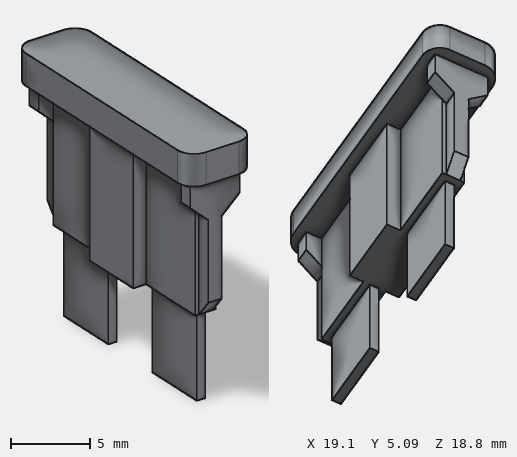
import cadquery as cq

total_height = 18.8
cap_length = 19.05
cap_width = 5.09
cap_thickness = 2.3
cap_corner_radius = 1.28

body_bottom = 6.36
body_top = total_height - cap_thickness
slab_length = 15.47
slab_thickness = 1.6
block_thickness = 3.56

blade_gap = 4.76
blade_width = 4.85
blade_thickness = 0.65

rail_span = 17.53
rail_width = (rail_span - slab_length) / 2
rail_thickness = 1.03
rail_head_thickness = 3.81
rail_head_height = 1.8
rail_taper_height = 1.25
rail_chamfer_height = 1.25


def upright_box(length, width, bottom, top):
    """Box centred on X and Y, spanning the given heights."""
    return cq.Workplane("XY").workplane(offset=bottom).rect(length, width).extrude(top - bottom)


def make_end_rails():
    """Y-shaped rails at both ends, with chamfered lower corners."""
    half_head = rail_head_thickness / 2
    half_rail = rail_thickness / 2
    taper_top = body_top - rail_head_height
    taper_bottom = taper_top - rail_taper_height
    section = (
        cq.Workplane("YZ")
        .workplane(offset=-rail_span / 2)
        .polyline([
            (-half_rail, body_bottom),
            (half_rail, body_bottom),
            (half_rail, taper_bottom),
            (half_head, taper_top),
            (half_head, body_top),
            (-half_head, body_top),
            (-half_head, taper_top),
            (-half_rail, taper_bottom),
        ])
        .close()
        .extrude(rail_span)
    )
    rails = section.faces("<Z").edges("|Y").chamfer(rail_width, rail_chamfer_height)
    return rails.cut(upright_box(slab_length, cap_width, body_bottom, body_top))


cap = upright_box(cap_length, cap_width, body_top, total_height).edges("|Z").fillet(cap_corner_radius)
slab = upright_box(slab_length, slab_thickness, body_bottom, body_top)
center_block = upright_box(blade_gap, block_thickness, body_bottom, body_top)

result = cap.union(slab).union(center_block).union(make_end_rails())

blade = upright_box(blade_width, blade_thickness, 0, body_bottom)
blade_offset = (blade_gap + blade_width) / 2
for side in (-1, 1):
    result = result.union(blade.translate((side * blade_offset, 0, 0)))